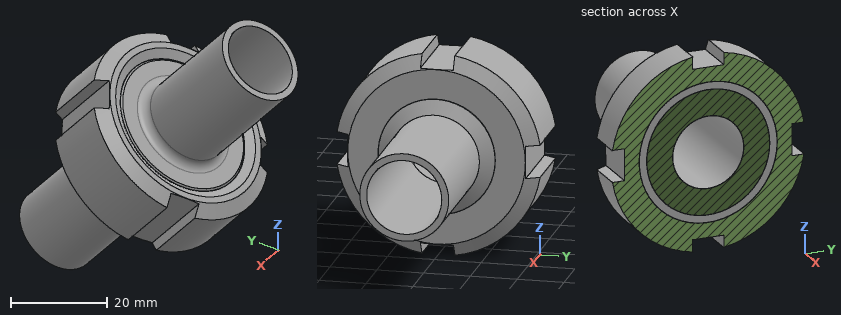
import cadquery as cq
import math

overall_length = 76.0
pipe_radius = 19.0 / 2
bore_radius = 16.0 / 2

nut_start = -10.0
nut_width = 18.0
nut_end = nut_start + nut_width
nut_radius = 44.0 / 2
nut_face_radius = 37.9 / 2
nut_bevel_angle = math.radians(60)
nut_bevel_length = (nut_radius - nut_face_radius) / math.tan(nut_bevel_angle)
thread_radius = 31.15 / 2
mouth_radius = 35.0 / 2
mouth_depth = (mouth_radius - thread_radius) / math.tan(nut_bevel_angle)
collar_thickness = 3.4
collar_start = nut_end - collar_thickness
collar_hole_radius = 25.0 / 2
slot_width = 7.0
slot_floor_radius = 19.0
slot_count = 4

threaded_face = -9.1
joint_plane = 0.0
root_fillet = 2.0
rim_chamfer = 0.45

liner_flange_radius = 27.9 / 2
hub_radius = collar_hole_radius
hub_cone_end = 9.5
hub_cone_angle = math.radians(60)
hub_cone_length = (hub_radius - pipe_radius) / math.tan(hub_cone_angle)
hub_end = hub_cone_end - hub_cone_length


def revolve_about_x(profile):
    """Revolve a closed (x, radius) profile one full turn about the X axis."""
    return profile.close().revolve(360, (0, 0, 0), (1, 0, 0))


def make_nut():
    """Beveled ring with a countersunk mouth, an inner collar and spanner slots."""
    nut = revolve_about_x(
        cq.Workplane("XY")
        .moveTo(nut_start, mouth_radius)
        .lineTo(nut_start, nut_face_radius)
        .lineTo(nut_start + nut_bevel_length, nut_radius)
        .lineTo(nut_end - nut_bevel_length, nut_radius)
        .lineTo(nut_end, nut_face_radius)
        .lineTo(nut_end, collar_hole_radius)
        .lineTo(collar_start, collar_hole_radius)
        .lineTo(collar_start, thread_radius)
        .lineTo(nut_start + mouth_depth, thread_radius)
    )
    slot_cutter = cq.Workplane("XY").box(
        nut_width, slot_width, nut_radius, centered=(False, True, False)
    ).translate((nut_start, 0, slot_floor_radius))
    for index in range(slot_count):
        angle = index * 360 / slot_count
        nut = nut.cut(slot_cutter.rotate((0, 0, 0), (1, 0, 0), angle))
    return nut


def make_threaded_end():
    """Pipe with a filleted root at the threaded shoulder; the thread is a plain cylinder."""
    fillet_start = threaded_face - root_fillet
    arc_offset = root_fillet * (1 - math.sqrt(0.5))
    return revolve_about_x(
        cq.Workplane("XY")
        .moveTo(-overall_length / 2, bore_radius)
        .lineTo(-overall_length / 2, pipe_radius)
        .lineTo(fillet_start, pipe_radius)
        .threePointArc(
            (threaded_face - arc_offset, pipe_radius + arc_offset),
            (threaded_face, pipe_radius + root_fillet),
        )
        .lineTo(threaded_face, thread_radius - rim_chamfer)
        .lineTo(threaded_face + rim_chamfer, thread_radius)
        .lineTo(joint_plane, thread_radius)
        .lineTo(joint_plane, bore_radius)
    )


def make_liner_end():
    """Pipe with a flange held behind the nut collar and a hub that tapers to the pipe."""
    return revolve_about_x(
        cq.Workplane("XY")
        .moveTo(joint_plane, bore_radius)
        .lineTo(joint_plane, liner_flange_radius)
        .lineTo(collar_start, liner_flange_radius)
        .lineTo(collar_start, hub_radius)
        .lineTo(hub_end, hub_radius)
        .lineTo(hub_cone_end, pipe_radius)
        .lineTo(overall_length / 2, pipe_radius)
        .lineTo(overall_length / 2, bore_radius)
    )


nut = make_nut()
threaded_end = make_threaded_end()
liner_end = make_liner_end()
result = cq.Compound.makeCompound([nut.val(), threaded_end.val(), liner_end.val()])